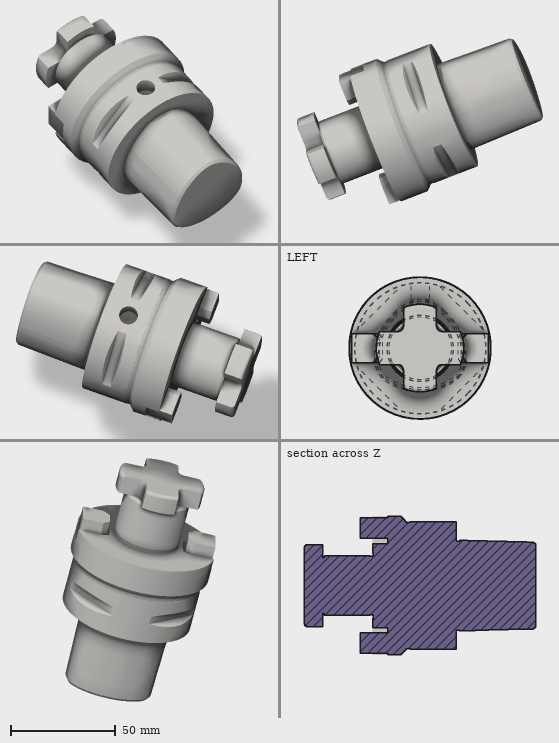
import cadquery as cq
import math

head_thickness = 9.0
flange_face_x = 32.9
bevel_start_x = 46.3
body_start_x = 50.8
body_end_x = 73.0
total_length = 111.0

head_dia = 42.0
spigot_dia = 32.0
flange_dia = 68.0
neck_dia = 62.6
body_dia = 63.0

arm_width = 15.8
arm_inner_fillet = 3.0
head_edge_fillet = 1.5

spigot_chamfer = 1.0
undercut_start_x = 31.0
undercut_depth = 0.2
undercut_slope_length = 0.7
undercut_radius = 0.4
face_recess_dia = 34.4
face_recess_depth = 0.1

key_width = 13.9
key_front_x = 26.8
key_back_x = 39.8
key_inner_y = 19.4
key_outer_y = 32.6
key_chamfer = 3.1
slot_inner_y = 18.2
slot_corner_fillet = 2.7

groove_x = 60.9
groove_bottom_distance = 27.6
groove_bottom_width = 4.1
groove_top_width = 7.4
orientation_hole_dia = 9.0
orientation_hole_depth = 8.0
drill_point_angle = 118

shank_dia = 44.0
lobe_eccentricity = 1.4
shank_land = 2.0
shank_blend = 1.0
shank_taper = 1 / 20
shank_end_length = 1.3
shank_end_chamfer = 1.0
lobe_relief_dia = 45.1
lobe_relief_length = 1.2
points_per_lobe = 12


def cross_head():
    """Disc cut down to four arms, with a rounded outer front edge."""
    disc = (
        cq.Workplane("YZ")
        .circle(head_dia / 2)
        .extrude(head_thickness)
        .faces("<X")
        .edges()
        .fillet(head_edge_fillet)
    )
    arm = cq.Workplane("YZ").rect(head_dia, arm_width).extrude(head_thickness)
    cross = arm.union(arm.rotate((0, 0, 0), (1, 0, 0), 90))
    at_corner = cq.selectors.BoxSelector(
        (-1.1, -arm_width, -arm_width), (head_thickness + 1.1, arm_width, arm_width)
    )
    cross = cross.edges("|X").edges(at_corner).fillet(arm_inner_fillet)
    return disc.intersect(cross)


def turned_body():
    """Spigot, flange, neck and body turned about the X axis."""
    spigot_r = spigot_dia / 2
    undercut_r = spigot_r - undercut_depth
    recess_x = flange_face_x + face_recess_depth
    arc_half = undercut_radius * math.sqrt(0.5)
    arc_center_x = recess_x - undercut_radius
    arc_center_r = undercut_r + undercut_radius
    bevel = (flange_dia - neck_dia) / 2
    profile = (
        cq.Workplane("XY")
        .moveTo(head_thickness, 0)
        .lineTo(head_thickness, spigot_r - spigot_chamfer)
        .lineTo(head_thickness + spigot_chamfer, spigot_r)
        .lineTo(undercut_start_x, spigot_r)
        .lineTo(undercut_start_x + undercut_slope_length, undercut_r)
        .lineTo(arc_center_x, undercut_r)
        .threePointArc((arc_center_x + arc_half, arc_center_r - arc_half), (recess_x, arc_center_r))
        .lineTo(flange_face_x, face_recess_dia / 2)
        .lineTo(flange_face_x, flange_dia / 2)
        .lineTo(bevel_start_x, flange_dia / 2)
        .lineTo(bevel_start_x + bevel, neck_dia / 2)
        .lineTo(body_start_x, neck_dia / 2)
        .lineTo(body_start_x, body_dia / 2)
        .lineTo(body_end_x, body_dia / 2)
        .lineTo(body_end_x, 0)
        .close()
    )
    return profile.revolve(360, (0, 0, 0), (1, 0, 0))


def polygon_point(diameter, angle):
    """Point of the three-lobed polygon; one lobe points along +Z."""
    r = diameter / 2
    e = lobe_eccentricity
    y = r * math.sin(angle) + 2 * e * math.sin(2 * angle) + e * math.sin(4 * angle)
    z = -r * math.cos(angle) + 2 * e * math.cos(2 * angle) - e * math.cos(4 * angle)
    return y, z


def polygon_section(x, diameter):
    """Closed polygon wire at station x, one spline per lobe joined mid-flat."""
    section = cq.Workplane("YZ", origin=(x, 0, 0)).moveTo(*polygon_point(diameter, 0))
    lobe_angle = 2 * math.pi / 3
    for lobe in range(3):
        start = lobe * lobe_angle
        end = start + lobe_angle
        points = [
            polygon_point(diameter, start + lobe_angle * i / points_per_lobe)
            for i in range(1, points_per_lobe + 1)
        ]
        tangents = [(math.cos(a), math.sin(a)) for a in (start, end)]
        section = section.spline(points, tangents=tangents, includeCurrent=True)
    return section.close().val()


def polygon_shank():
    """Straight land, short blend, long taper and end chamfer, relieved at the lobes."""
    land_end_x = body_end_x + shank_land
    taper_start_x = land_end_x + shank_blend
    taper_end_x = total_length - shank_end_length
    blend_dia = shank_dia - shank_taper / 2 * shank_blend
    taper_end_dia = blend_dia - shank_taper * (taper_end_x - taper_start_x)
    sections = [
        polygon_section(body_end_x, shank_dia),
        polygon_section(land_end_x, shank_dia),
        polygon_section(taper_start_x, blend_dia),
        polygon_section(taper_end_x, taper_end_dia),
        polygon_section(total_length, taper_end_dia - 2 * shank_end_chamfer),
    ]
    shank = cq.Workplane(cq.Solid.makeLoft(sections, True))

    relief_r = lobe_relief_dia / 2
    outside_r = shank_dia / 2 + 2 * lobe_eccentricity
    relief_end_x = body_end_x + lobe_relief_length
    relief = (
        cq.Workplane("XY")
        .moveTo(body_end_x, relief_r)
        .lineTo(relief_end_x, relief_r)
        .lineTo(relief_end_x + outside_r - relief_r, outside_r)
        .lineTo(body_end_x, outside_r)
        .close()
        .revolve(360, (0, 0, 0), (1, 0, 0))
    )
    return shank.cut(relief)


def key_block(front_x, inner_y, outer_y):
    """Plain block of the key's width on the +Y side, ending at the back of the key."""
    return cq.Workplane("XY", origin=(front_x, inner_y, 0)).box(
        key_back_x - front_x,
        outer_y - inner_y,
        key_width,
        centered=(False, False, True),
    )


def driving_key():
    """Key on the +Y side with its inner edges chamfered."""
    key = key_block(key_front_x, key_inner_y, key_outer_y)
    return key.edges("|X and <Y").chamfer(key_chamfer)


def key_slot():
    """Slot in the flange for the +Y key, open outward, with rounded inner corners."""
    slot = key_block(flange_face_x, slot_inner_y, flange_dia / 2)
    return slot.edges("|X and <Y").fillet(slot_corner_fillet)


def gripper_groove():
    """Straight groove with sloping flanks across the top of the body."""
    depth = body_dia / 2 - groove_bottom_distance
    return (
        cq.Workplane("XZ", origin=(groove_x, 0, groove_bottom_distance))
        .moveTo(-groove_bottom_width / 2, 0)
        .lineTo(groove_bottom_width / 2, 0)
        .lineTo(groove_top_width / 2, depth)
        .lineTo(-groove_top_width / 2, depth)
        .close()
        .extrude(body_dia / 2, both=True)
    )


def orientation_hole():
    """Blind radial hole from +Z with a drill-point bottom."""
    hole_r = orientation_hole_dia / 2
    cone_height = hole_r / math.tan(math.radians(drill_point_angle / 2))
    top_z = body_dia / 2
    bottom_z = top_z - orientation_hole_depth
    return (
        cq.Workplane("XZ")
        .moveTo(0, bottom_z - cone_height)
        .lineTo(hole_r, bottom_z)
        .lineTo(hole_r, top_z)
        .lineTo(0, top_z)
        .close()
        .revolve(360, (0, 0, 0), (0, 1, 0))
        .translate((groove_x, 0, 0))
    )


def turn(shape, angle):
    """Rotate a shape about the tool axis."""
    return shape.rotate((0, 0, 0), (1, 0, 0), angle)


result = turned_body().union(cross_head()).union(polygon_shank())

for key_angle in (0, 180):
    result = result.cut(turn(key_slot(), key_angle)).union(turn(driving_key(), key_angle))

for groove_angle in (45, 135, 225, 315):
    result = result.cut(turn(gripper_groove(), groove_angle))

result = result.cut(orientation_hole())